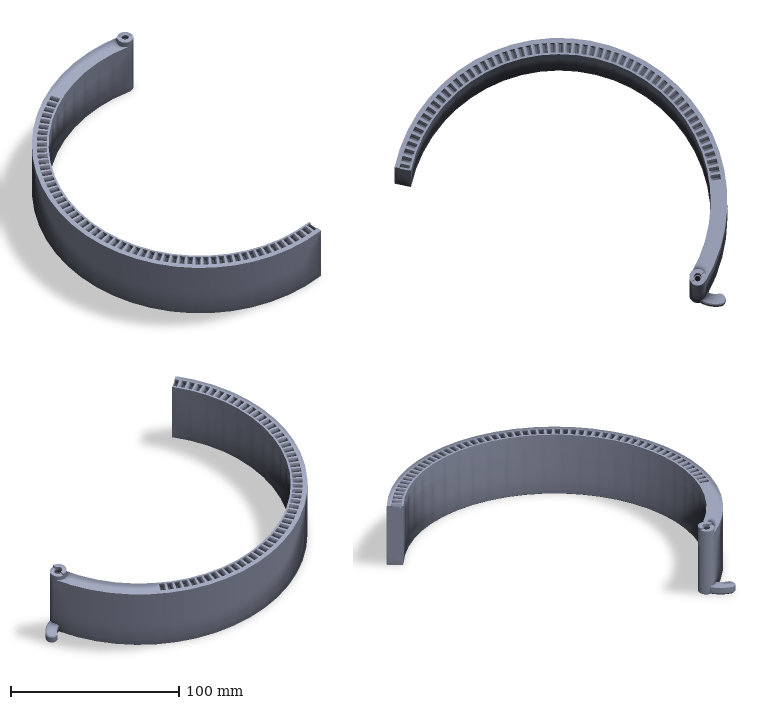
import cadquery as cq
import math

overall_length = 212.0

outer_radius = 100.0
band_thickness = 10.0
band_height = 40.0
post_angle = 180.0
free_end_angle = 18.0
bottom_chamfer = 0.5

post_diameter = band_thickness
post_height = 44.0
stop_step = 1.3
stop_tilt = 22.0
pin_head_diameter = 4.7
pin_shank_diameter = 3.4
pin_tip_diameter = 2.3

lever_width = 7.0
lever_drop = 3.4
lever_bend_x = -4.2
lever_height = 5.5
lever_top_chamfer = 0.6
lever_bottom_chamfer = 1.0

notches_per_turn = 125
first_notch = -49
last_notch = 6
notch_depth = 3.0
notch_mouth = 3.4
notch_floor = 0.8
notch_outer_wall = 3.0
notch_inner_wall = 1.0

inner_radius = outer_radius - band_thickness
post_x = -(inner_radius + band_thickness / 2)
lever_reach = overall_length - outer_radius + post_x


def make_band():
    section = (
        cq.Workplane("XZ")
        .moveTo(inner_radius + bottom_chamfer, 0)
        .lineTo(outer_radius - bottom_chamfer, 0)
        .lineTo(outer_radius, bottom_chamfer)
        .lineTo(outer_radius, band_height)
        .lineTo(inner_radius, band_height)
        .lineTo(inner_radius, bottom_chamfer)
        .close()
    )
    sweep = 360 + free_end_angle - post_angle
    band = section.revolve(sweep, (0, 0), (0, 1))
    return band.rotate((0, 0, 0), (0, 0, 1), post_angle)


def make_notch(index):
    """One trapezoidal notch, narrowing downwards and running radially."""
    inner_end = inner_radius + notch_inner_wall
    length = band_thickness - notch_inner_wall - notch_outer_wall
    floor_z = band_height - notch_depth
    notch = (
        cq.Workplane("YZ", origin=(inner_end, 0, 0))
        .moveTo(-notch_mouth / 2, band_height)
        .lineTo(-notch_floor / 2, floor_z)
        .lineTo(notch_floor / 2, floor_z)
        .lineTo(notch_mouth / 2, band_height)
        .close()
        .extrude(length)
    )
    angle = index * 360 / notches_per_turn
    return notch.rotate((0, 0, 0), (0, 0, 1), angle)


def make_post():
    """Round post whose top has a half-disc stop, one step higher than the rest."""
    post = (
        cq.Workplane("XY")
        .circle(post_diameter / 2)
        .extrude(post_height)
        .faces("<Z")
        .chamfer(bottom_chamfer)
    )
    lowered_half = (
        cq.Workplane("XY", origin=(-post_diameter / 2, 0, post_height - stop_step))
        .rect(post_diameter, 2 * post_diameter)
        .extrude(stop_step)
        .rotate((0, 0, 0), (0, 0, 1), -stop_tilt)
    )
    return post.cut(lowered_half).translate((post_x, 0, 0))


def make_lever():
    """Curved lever: straight out of the post, then bending down to a round tip."""
    half_width = lever_width / 2
    tip_x = half_width - lever_reach
    run = lever_bend_x - tip_x
    bend_radius = (run**2 + lever_drop**2) / (2 * lever_drop)
    bend_angle = math.asin(run / bend_radius)

    def bend_point(radius, angle):
        x = lever_bend_x - radius * math.sin(angle)
        y = radius * math.cos(angle) - bend_radius
        return (x, y)

    outer_bend = bend_radius + half_width
    inner_bend = bend_radius - half_width
    tip_end = (
        tip_x - half_width * math.cos(bend_angle),
        -lever_drop - half_width * math.sin(bend_angle),
    )
    lever = (
        cq.Workplane("XY")
        .moveTo(0, half_width)
        .lineTo(lever_bend_x, half_width)
        .threePointArc(bend_point(outer_bend, bend_angle / 2), bend_point(outer_bend, bend_angle))
        .threePointArc(tip_end, bend_point(inner_bend, bend_angle))
        .threePointArc(bend_point(inner_bend, bend_angle / 2), (lever_bend_x, -half_width))
        .lineTo(0, -half_width)
        .close()
        .extrude(lever_height)
        .faces(">Z")
        .chamfer(lever_top_chamfer)
        .faces("<Z")
        .chamfer(lever_bottom_chamfer)
    )
    return lever.translate((post_x, 0, 0))


def make_pin_hole():
    """Hole through the post, narrowing downwards in two steps."""
    tip = cq.Workplane("XY").circle(pin_tip_diameter / 2).extrude(post_height)
    shank = (
        cq.Workplane("XY", origin=(0, 0, lever_height))
        .circle(pin_shank_diameter / 2)
        .extrude(post_height - lever_height)
    )
    head = (
        cq.Workplane("XY", origin=(0, 0, band_height))
        .circle(pin_head_diameter / 2)
        .extrude(post_height - band_height)
    )
    return tip.union(shank).union(head).translate((post_x, 0, 0))


result = make_band().union(make_post()).union(make_lever()).cut(make_pin_hole())
for notch_index in range(first_notch, last_notch + 1):
    result = result.cut(make_notch(notch_index))